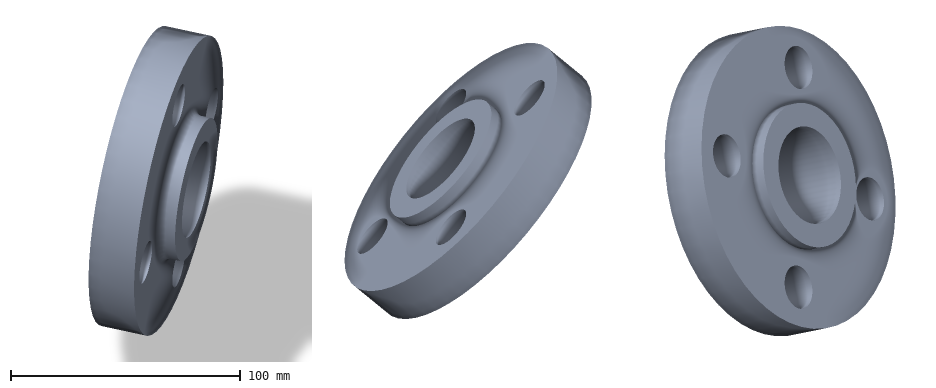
import cadquery as cq

flange_diameter = 133.4
flange_thickness = 20.7

hub_diameter = 63.6
total_length = 35.0
front_hub_length = 6.3
fillet_radius = 3.2

bore_diameter = 43.0
bolt_circle_diameter = 98.4
bolt_hole_diameter = 19.1
bolt_count = 4


def cylinder(diameter, start, length):
    """Solid cylinder along X, beginning at X = start."""
    return cq.Workplane("YZ", origin=(start, 0, 0)).circle(diameter / 2).extrude(length)


def root_fillet():
    """Concave ring joining the +X face of the disc to the hub."""
    face_x = front_hub_length + flange_thickness
    hub_radius = hub_diameter / 2
    outer_radius = hub_radius + fillet_radius
    end_x = face_x + fillet_radius
    bore_radius = bore_diameter / 2
    arc_offset = fillet_radius * (1 - 0.5 ** 0.5)
    return (
        cq.Workplane("XY")
        .moveTo(front_hub_length, bore_radius)
        .lineTo(front_hub_length, outer_radius)
        .lineTo(face_x, outer_radius)
        .threePointArc((face_x + arc_offset, hub_radius + arc_offset), (end_x, hub_radius))
        .lineTo(end_x, bore_radius)
        .close()
        .revolve(360, (0, 0, 0), (1, 0, 0))
    )


def bolt_holes():
    """Through holes evenly spaced on the bolt circle."""
    return (
        cq.Workplane("YZ")
        .polarArray(bolt_circle_diameter / 2, 0, 360, bolt_count)
        .circle(bolt_hole_diameter / 2)
        .extrude(total_length)
    )


disc = cylinder(flange_diameter, front_hub_length, flange_thickness)
hub = cylinder(hub_diameter, 0, total_length)
bore = cylinder(bore_diameter, 0, total_length)

body = disc.union(hub).union(root_fillet())
result = body.cut(bore).cut(bolt_holes())